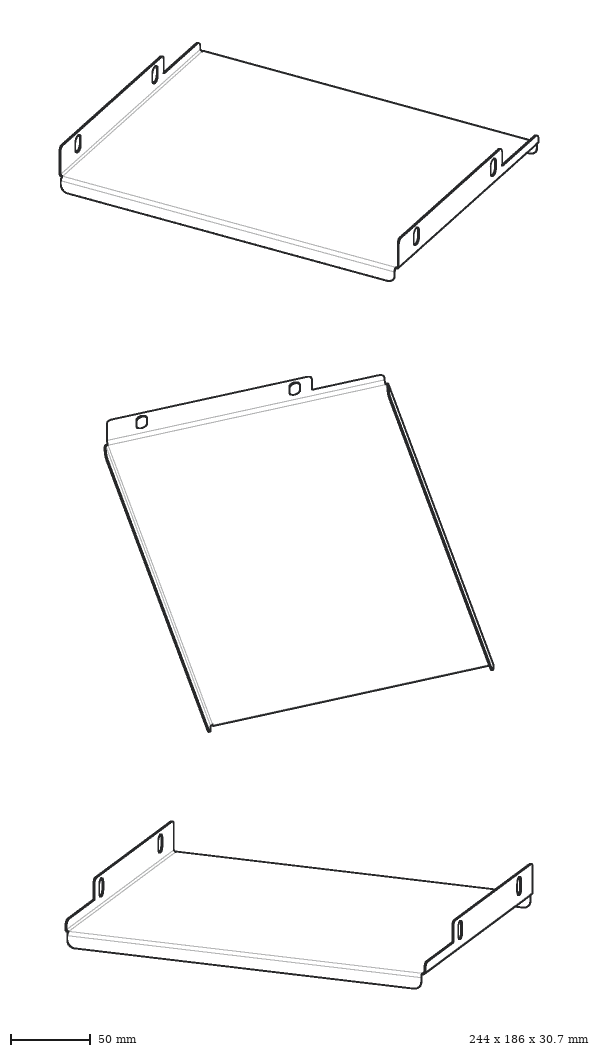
import cadquery as cq

length = 244.0
width = 186.0
height = 30.7

sheet = 1.0
inner_radius = 1.2
outer_radius = inner_radius + sheet

side_rise = 20.5
lip_drop = height - side_rise
bend_setback = outer_radius
side_flange_length = width - 2 * bend_setback
lip_length = length - 2 * bend_setback
lip_corner_radius = 5.0

low_edge_height = 6.8
step_y = 43.2
low_corner_radius = 4.0
high_corner_radius = 3.0
step_radius = 1.0

slot_width = 7.0
slot_height = 12.0
slot_spacing = 100.0
rear_slot_y = 32.0
slot_below_top = 8.8


def round_bottomed_block(span, rise, radius):
    """Block along X, standing on z = 0, with its two long bottom edges rounded."""
    return (
        cq.Workplane("XY")
        .box(2 * length, span, rise, centered=(True, True, False))
        .edges("|X and <Z")
        .fillet(radius)
    )


def bent_sheet(span, flange):
    """Overlong channel along X, open upwards; z = 0 is the outer face of its web."""
    outer = round_bottomed_block(span, flange, outer_radius)
    inner = round_bottomed_block(span - 2 * sheet, flange, inner_radius)
    return outer.cut(inner.translate((0, 0, sheet)))


def side_profile():
    """Stepped outline of both side flanges, as a block across the tray."""
    end_y = side_flange_length / 2
    block = (
        cq.Workplane("YZ")
        .moveTo(-end_y, -sheet)
        .lineTo(end_y, -sheet)
        .lineTo(end_y, low_edge_height)
        .lineTo(step_y, low_edge_height)
        .lineTo(step_y, side_rise)
        .lineTo(-end_y, side_rise)
        .close()
        .extrude(length, both=True)
    )

    def round_corner(body, y, z, radius):
        return body.edges(cq.NearestToPointSelector((0, y, z))).fillet(radius)

    block = round_corner(block, end_y, low_edge_height, low_corner_radius)
    block = round_corner(block, step_y, low_edge_height, step_radius)
    block = round_corner(block, step_y, side_rise, high_corner_radius)
    return round_corner(block, -end_y, side_rise, high_corner_radius)


def side_channel():
    """Floor with the two slotted side flanges."""
    channel = (
        bent_sheet(length, side_rise + sheet)
        .rotate((0, 0, 0), (0, 0, 1), 90)
        .translate((0, 0, -sheet))
        .intersect(side_profile())
    )
    slots = (
        cq.Workplane("YZ")
        .pushPoints([(y, side_rise - slot_below_top) for y in (rear_slot_y, rear_slot_y - slot_spacing)])
        .slot2D(slot_height, slot_width, 90)
        .extrude(length, both=True)
    )
    return channel.cut(slots)


def lip_channel():
    """Floor with the two hanging end lips, rounded at their lower corners."""
    outline = (
        cq.Workplane("XY", origin=(0, 0, -lip_drop))
        .box(lip_length, width, lip_drop, centered=(True, True, False))
        .edges("|Y and <Z")
        .fillet(lip_corner_radius)
    )
    return bent_sheet(width, lip_drop).rotate((0, 0, 0), (1, 0, 0), 180).intersect(outline)


result = side_channel().union(lip_channel())